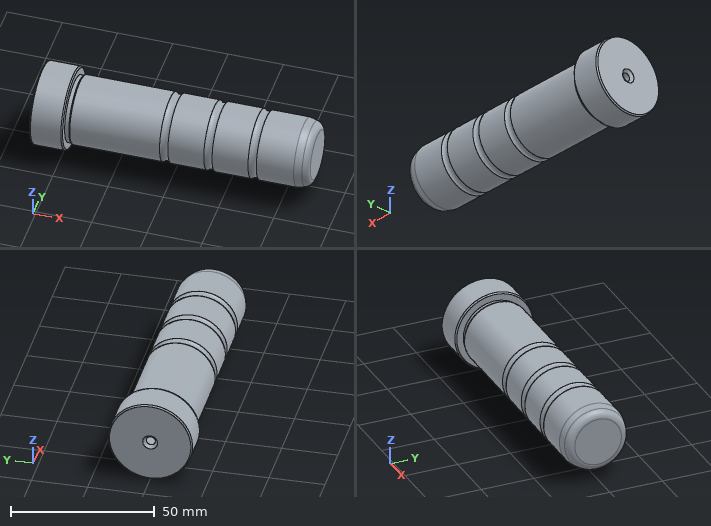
import cadquery as cq
import math

total_length = 100.0
head_diameter = 30.0
head_length = 12.0
head_chamfer = 0.5
shaft_diameter = 25.0

relief_depth = 0.5
relief_width = 2.0

groove_width = 3.0
groove_radius = 2.0
groove_centers = [48.0, 64.0, 80.0]

lead_in_length = 5.0
lead_in_angle = 15.0
tip_radius = 3.0

hole_diameter = 3.2
hole_depth = 10.0
hole_point_angle = 118.0
countersink_diameter = 5.3
countersink_angle = 85.0

shaft_radius = shaft_diameter / 2
head_radius = head_diameter / 2


def add_tip(profile):
    """Continue the shaft outline with the lead-in cone, the tip rounding and the end face."""
    slope = math.radians(lead_in_angle)
    cone_start = total_length - lead_in_length
    arc_center_x = total_length - tip_radius
    arc_start_x = arc_center_x + tip_radius * math.sin(slope)
    arc_start_r = shaft_radius - (arc_start_x - cone_start) * math.tan(slope)
    arc_center_r = arc_start_r - tip_radius * math.cos(slope)
    middle_angle = (math.pi / 2 - slope) / 2
    arc_middle = (
        arc_center_x + tip_radius * math.cos(middle_angle),
        arc_center_r + tip_radius * math.sin(middle_angle),
    )
    return (
        profile.lineTo(cone_start, shaft_radius)
        .lineTo(arc_start_x, arc_start_r)
        .threePointArc(arc_middle, (total_length, arc_center_r))
        .lineTo(total_length, 0)
    )


def make_body():
    """Revolve the head, relief and shaft as one outline about the X axis."""
    relief_radius = shaft_radius - relief_depth
    relief_end = head_length + relief_width
    profile = (
        cq.Workplane("XY")
        .moveTo(0, 0)
        .lineTo(0, head_radius - head_chamfer)
        .lineTo(head_chamfer, head_radius)
        .lineTo(head_length - head_chamfer, head_radius)
        .lineTo(head_length, head_radius - head_chamfer)
        .lineTo(head_length, relief_radius)
        .lineTo(relief_end - relief_depth, relief_radius)
        .lineTo(relief_end, shaft_radius)
    )
    return add_tip(profile).close().revolve(360, (0, 0, 0), (1, 0, 0))


def make_groove(center_x):
    """Ring cutter whose round section meets the shaft surface over the groove width."""
    ring_radius = shaft_radius + math.sqrt(groove_radius**2 - (groove_width / 2) ** 2)
    return (
        cq.Workplane("XY")
        .center(center_x, ring_radius)
        .circle(groove_radius)
        .revolve(360, (0, -ring_radius, 0), (1, -ring_radius, 0))
    )


def make_center_hole():
    """Countersunk blind hole with a conical drill point, opening on the head face."""
    hole_radius = hole_diameter / 2
    countersink_radius = countersink_diameter / 2
    countersink_depth = (countersink_radius - hole_radius) / math.tan(math.radians(countersink_angle / 2))
    point_length = hole_radius / math.tan(math.radians(hole_point_angle / 2))
    return (
        cq.Workplane("XY")
        .moveTo(0, 0)
        .lineTo(0, countersink_radius)
        .lineTo(countersink_depth, hole_radius)
        .lineTo(hole_depth, hole_radius)
        .lineTo(hole_depth + point_length, 0)
        .close()
        .revolve(360, (0, 0, 0), (1, 0, 0))
    )


result = make_body().cut(make_center_hole())
for groove_center in groove_centers:
    result = result.cut(make_groove(groove_center))